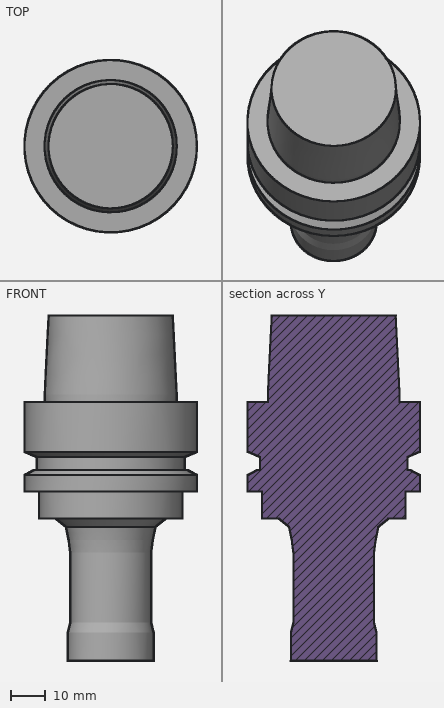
import cadquery as cq

tip_diameter = 25.0
shank_diameter = 23.5
neck_middle_diameter = 24.4
neck_diameter = 26.0
flare_diameter = 32.0
collar_diameter = 41.6
flange_diameter = 50.0
groove_diameter = 43.0
groove_ledge_diameter = 44.4
taper_base_diameter = 38.3
taper_top_diameter = 36.0

total_length = 100.0
tip_length = 8.1
tip_cone_length = 3.0
shank_top = 31.3
neck_middle = 34.9
neck_top = 38.8
collar_bottom = 41.2
flange_bottom = 49.0
flange_height = 26.0
lower_rim_height = 4.8
groove_chamfer_height = 1.5
groove_floor_height = 3.7
taper_land_height = 2.0

shank_bottom = tip_length + tip_cone_length
flange_top = flange_bottom + flange_height
groove_bottom = flange_bottom + lower_rim_height
groove_floor_bottom = groove_bottom + groove_chamfer_height
groove_floor_top = groove_floor_bottom + groove_floor_height
groove_top = groove_floor_top + groove_chamfer_height
taper_bottom = flange_top + taper_land_height


def at(diameter, height):
    """Point of the half profile: radius and position along the axis."""
    return (diameter / 2, height)


profile = (
    cq.Workplane("XZ")
    .lineTo(*at(tip_diameter, 0))
    .lineTo(*at(tip_diameter, tip_length))
    .lineTo(*at(shank_diameter, shank_bottom))
    .lineTo(*at(shank_diameter, shank_top))
    .lineTo(*at(neck_middle_diameter, neck_middle))
    .lineTo(*at(neck_diameter, neck_top))
)

profile = (
    profile
    .lineTo(*at(flare_diameter, collar_bottom))
    .lineTo(*at(collar_diameter, collar_bottom))
    .lineTo(*at(collar_diameter, flange_bottom))
)

profile = (
    profile
    .lineTo(*at(flange_diameter, flange_bottom))
    .lineTo(*at(flange_diameter, groove_bottom))
    .lineTo(*at(groove_ledge_diameter, groove_floor_bottom))
    .lineTo(*at(groove_diameter, groove_floor_bottom))
    .lineTo(*at(groove_diameter, groove_floor_top))
    .lineTo(*at(flange_diameter, groove_top))
    .lineTo(*at(flange_diameter, flange_top))
)

profile = (
    profile
    .lineTo(*at(taper_base_diameter, flange_top))
    .lineTo(*at(taper_base_diameter, taper_bottom))
    .lineTo(*at(taper_top_diameter, total_length))
    .lineTo(0, total_length)
    .close()
)

result = profile.revolve(360, (0, 0, 0), (0, 1, 0))